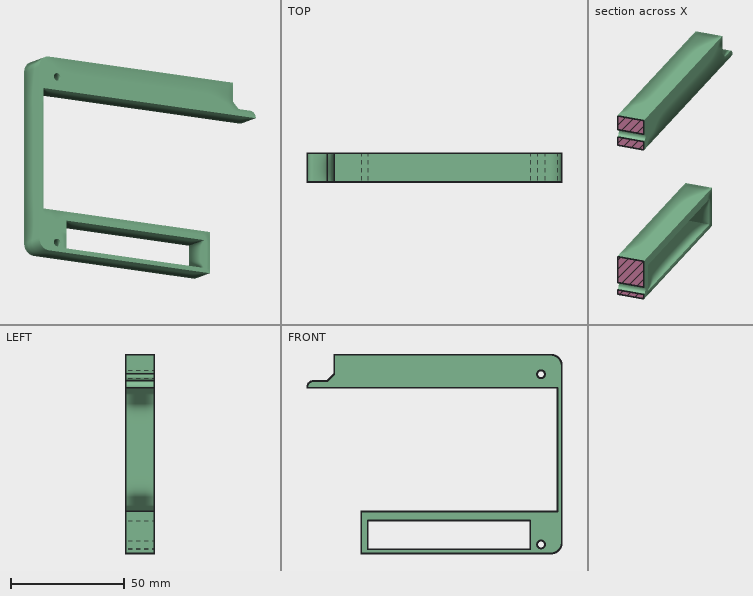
import cadquery as cq

length = 112.4
width = 12.7
height = 87.8
spine_thickness = 2.0
corner_radius = 5.0

upper_arm_height = 14.6
tongue_length = 11.9
tongue_thickness = 3.0
tongue_tip_radius = 2.9
tongue_root_chamfer = 3.0

lower_arm_start = 23.8
lower_arm_height = 18.7
window_end_wall = 3.0
window_floor = 2.0
window_length = 71.5
window_height = 12.6

hole_diameter = 3.4
hole_inset = 9.2
upper_hole_depth = 8.7
lower_hole_height = 4.0

spine_inner = length - spine_thickness
upper_arm_bottom = height - upper_arm_height
tongue_top = upper_arm_bottom + tongue_thickness


def box_through(x, z, size_x, size_z):
    """Full-width box with its lower left corner at (x, z)."""
    return cq.Workplane("XY").box(size_x, width, size_z, centered=(False, True, False)).translate((x, 0, z))


def make_frame():
    """C-shaped frame with rounded outer corners."""
    spine = box_through(spine_inner, 0, spine_thickness, height)
    upper_arm = box_through(
        tongue_length, upper_arm_bottom, length - tongue_length, upper_arm_height
    )
    lower_arm = box_through(lower_arm_start, 0, length - lower_arm_start, lower_arm_height)
    frame = spine.union(upper_arm).union(lower_arm)
    return frame.edges("|Y and >X").fillet(corner_radius)


def make_tongue():
    """Tongue with a rounded tip and a sloped root."""
    tongue = box_through(0, upper_arm_bottom, tongue_length, tongue_thickness)
    tongue = tongue.edges("|Y and <X and >Z").fillet(tongue_tip_radius)
    root = (
        cq.Workplane("XZ")
        .moveTo(tongue_length - tongue_root_chamfer, tongue_top)
        .lineTo(tongue_length, tongue_top)
        .lineTo(tongue_length, tongue_top + tongue_root_chamfer)
        .close()
        .extrude(width / 2, both=True)
    )
    return tongue.union(root)


def make_window():
    """Opening through the lower arm."""
    return box_through(lower_arm_start + window_end_wall, window_floor, window_length, window_height)


def make_holes():
    """Pin holes across the width."""
    hole_x = length - hole_inset
    return (
        cq.Workplane("XZ")
        .pushPoints([(hole_x, height - upper_hole_depth), (hole_x, lower_hole_height)])
        .circle(hole_diameter / 2)
        .extrude(width, both=True)
    )


result = make_frame().union(make_tongue()).cut(make_window()).cut(make_holes())